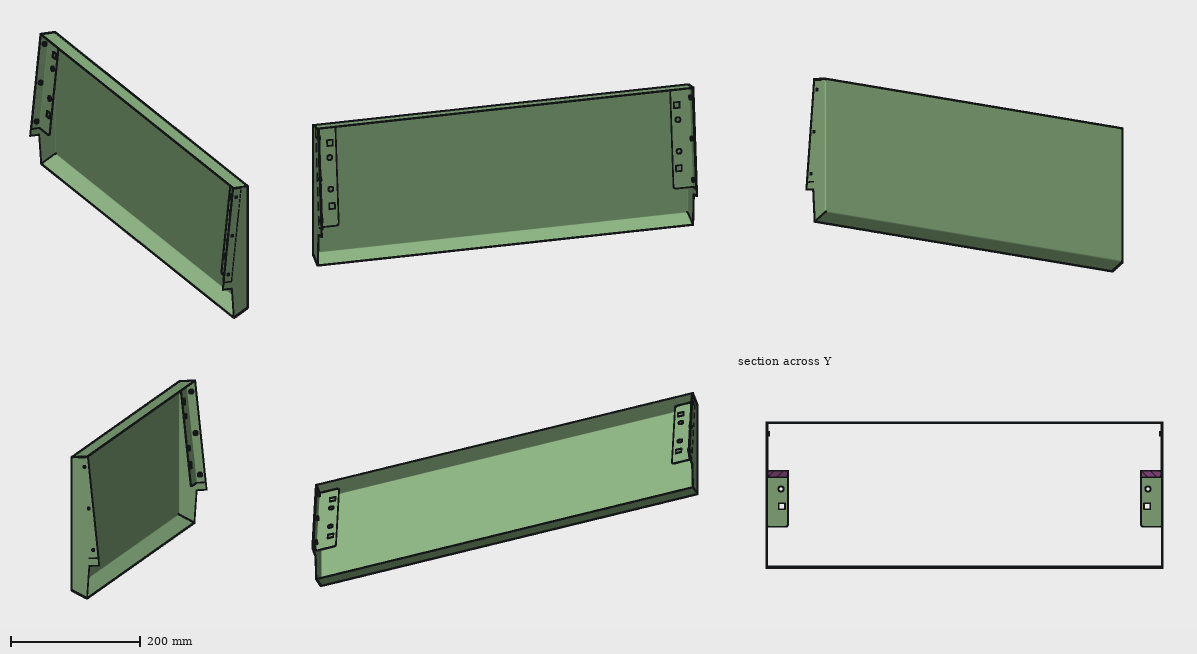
import cadquery as cq
import math

width = 612.0
sheet = 1.1
bend_radius = 2.5
back_height = 210.5
tilt = 6.1

top_depth = 27.0
bottom_depth = 26.0
bottom_slope = 25.0
wing_depth = 45.0
wing_corner_depth = 29.5

bracket_top_gap = 1.0
bracket_length = 158.5
bracket_plate_width = 32.5
bracket_bend_radius = 2.0
bracket_flange_depth = 14.0
plate_corner_radius = 4.0

boss_count = 3
boss_diameter = 7.0
boss_bore = 3.5
boss_height = 2.5
boss_setback = 7.5
boss_drop = 14.5
boss_pitch = 65.5

square_side = 9.0
square_offset = 22.5
square_center_drop = 76.5
square_spacing = 100.5
round_diameter = 8.0
round_offset = 21.5
round_center_drop = 74.5
round_spacing = 50.0

tan_tilt = math.tan(math.radians(tilt))
cos_tilt = math.cos(math.radians(tilt))
tan_slope = math.tan(math.radians(bottom_slope))
cos_slope = math.cos(math.radians(bottom_slope))
inner_half_width = width / 2 - sheet
top_lip_height = back_height + top_depth * tan_tilt
bottom_lip_height = -bottom_depth * tan_slope
wing_tip_height = top_lip_height - (wing_depth - top_depth) / tan_tilt
wing_corner_height = wing_tip_height - (wing_depth - wing_corner_depth) * tan_tilt
cavity_depth = 2 * wing_depth
plate_back = bracket_flange_depth + sheet


def slab_across(points, length):
    """Extrude a (Y, Z) outline symmetrically along X."""
    return cq.Workplane("YZ").polyline(points).close().extrude(length / 2, both=True)


def make_pan():
    """Sheet tray: back, two side walls with forward wings, and sloping top and bottom flanges."""
    outer = slab_across(
        [
            (0, 0),
            (0, back_height),
            (-top_depth, top_lip_height),
            (-wing_depth, wing_tip_height),
            (-wing_corner_depth, wing_corner_height),
            (-bottom_depth, bottom_lip_height),
        ],
        width,
    )
    ceiling = back_height - sheet / cos_tilt
    floor = sheet / cos_slope
    cavity = slab_across(
        [
            (-sheet, floor - sheet * tan_slope),
            (-sheet, ceiling + sheet * tan_tilt),
            (-cavity_depth, ceiling + cavity_depth * tan_tilt),
            (-cavity_depth, floor - cavity_depth * tan_slope),
        ],
        width - 2 * sheet,
    )
    outer = outer.faces(">Y").edges().fillet(bend_radius)
    cavity = cavity.faces(">Y").edges().fillet(bend_radius - sheet)
    return outer.cut(cavity)


def bent_angle():
    """L-section sheet: a flange along the wall and a plate turned inward behind it."""
    angle = (
        cq.Workplane("XY")
        .polyline(
            [
                (0, 0),
                (0, plate_back),
                (bracket_plate_width, plate_back),
                (bracket_plate_width, bracket_flange_depth),
                (sheet, bracket_flange_depth),
                (sheet, 0),
            ]
        )
        .close()
        .extrude(-bracket_length)
    )
    inner_corner = (sheet, bracket_flange_depth, -bracket_length / 2)
    inner_bend = cq.selectors.NearestToPointSelector(inner_corner)
    angle = angle.edges("|Z and <X and >Y").fillet(bracket_bend_radius)
    angle = angle.edges(inner_bend).fillet(bracket_bend_radius - sheet)
    return angle.edges("|Y and >X").fillet(plate_corner_radius)


def flange_cylinders(diameter):
    """Row of cylinders along the flange, from the wall face to the boss tips."""
    centers = [(boss_setback, -boss_drop - i * boss_pitch) for i in range(boss_count)]
    return cq.Workplane("YZ").pushPoints(centers).circle(diameter / 2).extrude(sheet + boss_height)


def hole_pair(offset, center_drop, spacing):
    """Sketch plane with two hole centers, one above the other on the plate."""
    centers = [(offset, -center_drop + step * spacing / 2) for step in (-1, 1)]
    return cq.Workplane("XZ").pushPoints(centers)


def plate_holes():
    """Cutters for the square and round holes; they run back (+Y) from the front edge."""
    squares = hole_pair(square_offset, square_center_drop, square_spacing).rect(square_side, square_side)
    rounds = hole_pair(round_offset, round_center_drop, round_spacing).circle(round_diameter / 2)
    through = -(plate_back + sheet)
    return squares.extrude(through).add(rounds.extrude(through)).combine()


def make_bracket(side):
    """Bracket inside one side wall; side is -1 for the left wall and +1 for the right."""
    bracket = bent_angle().union(flange_cylinders(boss_diameter))
    bracket = bracket.cut(flange_cylinders(boss_bore)).cut(plate_holes())

    bracket = (
        bracket.translate((-inner_half_width, 0, -sheet - bracket_top_gap))
        .rotate((0, 0, 0), (1, 0, 0), -tilt)
        .translate((0, -top_depth, top_lip_height))
    )
    if side > 0:
        bracket = bracket.mirror("YZ")
    return bracket


pan = make_pan()
brackets = [make_bracket(side) for side in (-1, 1)]

result = cq.Compound.makeCompound([pan.val(), *[bracket.val() for bracket in brackets]])